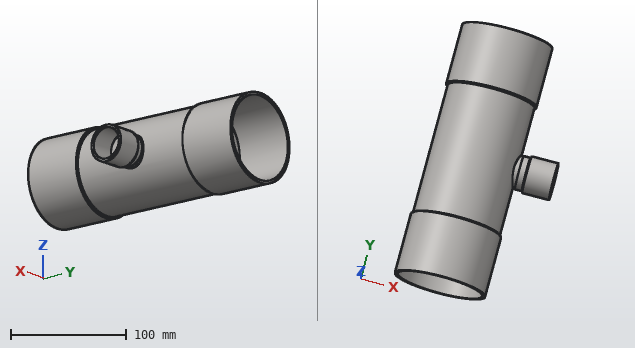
import cadquery as cq

pipe_length = 226.0
pipe_diameter = 78.0
socket_diameter = 81.0
socket_bore = 76.0
socket_length = 53.5
shoulder_length = 1.1
wall = (socket_diameter - socket_bore) / 2

branch_reach = 71.6
branch_diameter = 33.0
branch_bore = branch_diameter - 2 * wall
branch_socket_length = 23.7
branch_shoulder_length = 1.0
collar_diameter = 30.0
collar_length = 6.0
neck_diameter = 29.5

branch_socket_start = branch_reach - branch_socket_length
collar_end = branch_socket_start - branch_shoulder_length
collar_start = collar_end - collar_length


def make_pipe():
    """Solid of revolution about Y: a pipe with a wider socket at each end."""
    end = pipe_length / 2
    socket_start = end - socket_length
    shoulder_start = socket_start - shoulder_length
    pipe_radius = pipe_diameter / 2
    socket_radius = socket_diameter / 2
    profile = (
        cq.Workplane("XY")
        .moveTo(0, -end)
        .lineTo(socket_radius, -end)
        .lineTo(socket_radius, -socket_start)
        .lineTo(pipe_radius, -shoulder_start)
        .lineTo(pipe_radius, shoulder_start)
        .lineTo(socket_radius, socket_start)
        .lineTo(socket_radius, end)
        .lineTo(0, end)
        .close()
    )
    return profile.revolve(360, (0, 0, 0), (0, 1, 0))


def make_branch():
    """Solid of revolution about X: neck, collar, conical shoulder and socket."""
    neck_radius = neck_diameter / 2
    collar_radius = collar_diameter / 2
    branch_radius = branch_diameter / 2
    profile = (
        cq.Workplane("XY")
        .lineTo(0, neck_radius)
        .lineTo(collar_start, neck_radius)
        .lineTo(collar_start, collar_radius)
        .lineTo(collar_end, collar_radius)
        .lineTo(branch_socket_start, branch_radius)
        .lineTo(branch_reach, branch_radius)
        .lineTo(branch_reach, 0)
        .close()
    )
    return profile.revolve(360, (0, 0, 0), (1, 0, 0))


def cut_sockets(body):
    """Bore a blind, flat-bottomed socket into each open end."""
    for face in ("<Y", ">Y"):
        body = body.faces(face).workplane(centerOption="CenterOfMass").hole(socket_bore, socket_length)
    return body.faces(">X").workplane(centerOption="CenterOfMass").hole(branch_bore, branch_socket_length)


result = cut_sockets(make_pipe().union(make_branch()))